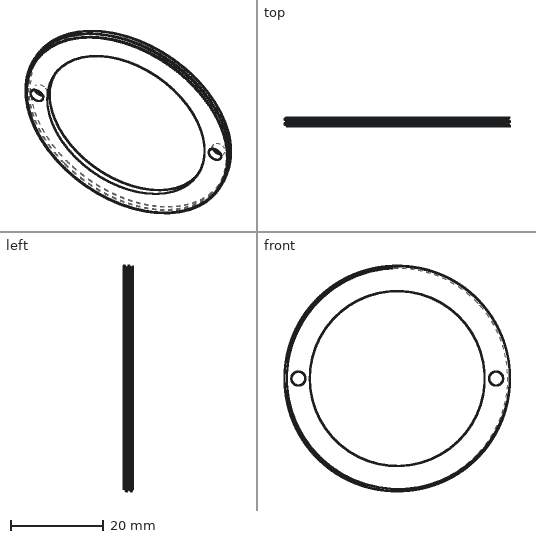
import cadquery as cq
import math

outer_diameter = 49.05
bore_diameter = 38.0
thickness = 2.0
bore_fillet = 1.0

hole_diameter = 3.0
hole_spacing = 43.0

pitch = thickness / 2
crest_flat = pitch / 8
root_flat = pitch / 4
flank_slope = math.tan(math.radians(30))
thread_depth = (pitch - crest_flat - root_flat) / 2 / flank_slope
crest_offset = 0.1
ridge_overlap = 0.025
ridge_turns = 6
turns_below_first_crest = 4

outer_radius = outer_diameter / 2
root_radius = outer_radius - thread_depth


def make_core():
    """Ring up to the thread root, with the back edge of the bore rounded."""
    disc = cq.Workplane("XY").circle(root_radius).extrude(thickness)
    bored = disc.faces(">Z").workplane().hole(bore_diameter)
    bore_edge = cq.selectors.RadiusNthSelector(0)
    return bored.faces("<Z").edges(bore_edge).fillet(bore_fillet)


def make_thread():
    """Helical ridge, trimmed flush with both faces of the ring."""
    start = thickness - crest_offset - turns_below_first_crest * pitch
    base_radius = root_radius - ridge_overlap
    crest_half = crest_flat / 2
    base_half = crest_half + (outer_radius - base_radius) * flank_slope
    profile = cq.Workplane("XZ").polyline([
        (base_radius, start - base_half),
        (outer_radius, start - crest_half),
        (outer_radius, start + crest_half),
        (base_radius, start + base_half),
    ]).close()
    helix = cq.Wire.makeHelix(pitch, ridge_turns * pitch, outer_radius)
    path = cq.Workplane(obj=helix.translate(cq.Vector(0, 0, start)))
    ridge = profile.sweep(path, isFrenet=True)
    slab_side = 1.2 * outer_diameter
    slab = cq.Workplane("XY").rect(slab_side, slab_side).extrude(thickness)
    return ridge.intersect(slab)


def make_holes():
    """Two through holes on opposite sides of the bore."""
    hole_centres = [(-hole_spacing / 2, 0), (hole_spacing / 2, 0)]
    return cq.Workplane("XY").pushPoints(hole_centres).circle(hole_diameter / 2).extrude(thickness)


ring = make_core().union(make_thread()).cut(make_holes())

result = ring.translate((0, 0, -thickness / 2)).rotate((0, 0, 0), (1, 0, 0), 90)